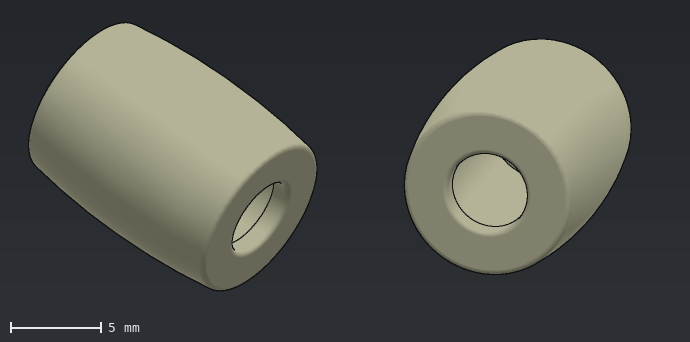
import cadquery as cq

length = 13.2
middle_diameter = 10.6
end_diameter = 9.57
bore_diameter = 4.5
relief_diameter = 6.12
lip_length = 1.25
edge_radius = 0.3

half_length = length / 2
middle_radius = middle_diameter / 2
end_radius = end_diameter / 2
relief_half_length = half_length - lip_length


def crowned_body():
    """Solid barrel with a circular-arc side, before rounding its edges."""
    return (
        cq.Workplane("XY")
        .moveTo(-half_length, 0)
        .lineTo(-half_length, end_radius)
        .threePointArc((0, middle_radius), (half_length, end_radius))
        .lineTo(half_length, 0)
        .close()
        .revolve(360, (0, 0, 0), (1, 0, 0))
    )


def centred_cylinder(diameter, half_span):
    """Cylinder along X, reaching half_span to each side of the origin."""
    return cq.Workplane("YZ").circle(diameter / 2).extrude(half_span, both=True)


def lip_inner_edges(body):
    """Bore edges where the lips open into the relief chamber."""
    reach = relief_half_length + edge_radius
    width = (bore_diameter + relief_diameter) / 2
    selector = cq.selectors.BoxSelector(
        (-reach, -width / 2, -width / 2),
        (reach, width / 2, width / 2),
        boundingbox=True,
    )
    return body.edges(selector)


bore = centred_cylinder(bore_diameter, half_length)
relief = centred_cylinder(relief_diameter, relief_half_length)
sleeve = crowned_body().cut(bore).cut(relief)

sleeve = lip_inner_edges(sleeve).fillet(edge_radius)
result = sleeve.faces("<X or >X").edges().fillet(edge_radius)